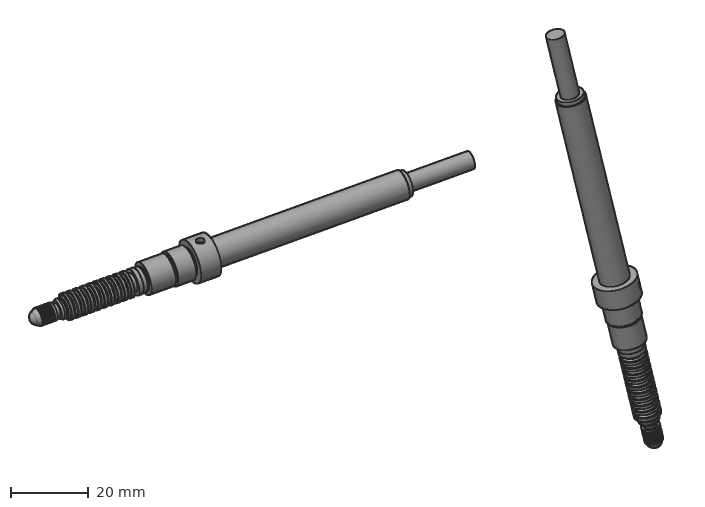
import cadquery as cq

overall_length = 128.5

nose_length = 1.0
nose_diameter = 3.6
taper_length = 2.3
tip_diameter = 5.0
grip_end = 6.8
grip_groove_count = 8
grip_groove_width = 0.25
grip_groove_depth = 0.2
grip_front_land = 0.2
grip_rear_land = 0.5

neck_end = 8.0
neck_diameter = 3.6
shoulder_front_diameter = 5.0
shoulder_diameter = 5.7
shoulder_taper_end = 8.7
shoulder_end = 9.4

fin_count = 10
fin_pitch = 1.94
fin_diameter = 7.3
fin_crest_width = 0.85
fin_flank_width = 0.4
first_fin_center = 10.75
root_diameter = 5.2

ring_start = 30.0
ring_end = 32.6
ring_diameter = 7.3
ring_step = 31.3
ring_rear_diameter = 7.1
relief_end = 33.1
relief_diameter = 6.6
sleeve_end = 40.2
sleeve_diameter = 9.0
sleeve_groove_end = 40.75
groove_diameter = 8.0
land_end = 45.9
land_diameter = 9.6
flange_start = 46.7
flange_end = 52.6
flange_diameter = 12.0

barrel_end = 108.6
barrel_diameter = 8.1
end_cap_end = 109.8
end_cap_diameter = 7.3
tail_diameter = 5.0

radial_hole_diameter = 2.3
radial_hole_depth = 1.5
radial_hole_center = (flange_start + flange_end) / 2


def cylinder(start, end, diameter):
    """Solid cylinder around the Y axis between two distances from the tip."""
    return (
        cq.Workplane("XZ", origin=(0, start, 0))
        .circle(diameter / 2)
        .extrude(start - end)
    )


def cone(start, end, start_diameter, end_diameter):
    """Solid cone frustum around the Y axis between two distances from the tip."""
    return cq.Workplane(
        cq.Solid.makeCone(
            start_diameter / 2,
            end_diameter / 2,
            end - start,
            pnt=cq.Vector(0, start, 0),
            dir=cq.Vector(0, 1, 0),
        )
    )


def make_tip():
    """Spherical nose and conical taper followed by a ring-grooved grip."""
    nose_radius = nose_diameter / 2
    dome_radius = (nose_radius**2 + nose_length**2) / (2 * nose_length)
    tip_radius = tip_diameter / 2
    tip = (
        cq.Workplane("XY")
        .radiusArc((nose_radius, nose_length), -dome_radius)
        .lineTo(tip_radius, taper_length)
        .lineTo(tip_radius, grip_end)
        .lineTo(0, grip_end)
        .close()
        .revolve(360, (0, 0, 0), (0, 1, 0))
    )
    first_groove = taper_length + grip_front_land
    groove_pitch = (grip_end - grip_rear_land - first_groove) / grip_groove_count
    core_diameter = tip_diameter - 2 * grip_groove_depth
    for index in range(grip_groove_count):
        start = first_groove + index * groove_pitch
        end = start + grip_groove_width
        groove = cylinder(start, end, 2 * tip_diameter).cut(cylinder(start, end, core_diameter))
        tip = tip.cut(groove)
    return tip


def make_neck_and_shoulder():
    """Slim neck leading into a shoulder with a tapered front."""
    neck = cylinder(grip_end, neck_end, neck_diameter)
    taper = cone(neck_end, shoulder_taper_end, shoulder_front_diameter, shoulder_diameter)
    shoulder = cylinder(shoulder_taper_end, shoulder_end, shoulder_diameter)
    return neck.union(taper).union(shoulder)


def make_fin(center):
    """One fin with a flat crest and sloping flanks."""
    crest_start = center - fin_crest_width / 2
    crest_end = center + fin_crest_width / 2
    crest = cylinder(crest_start, crest_end, fin_diameter)
    flank_diameter = (fin_diameter + root_diameter) / 2
    front = cone(crest_start - fin_flank_width, crest_start, root_diameter, flank_diameter)
    back = cone(crest_end, crest_end + fin_flank_width, flank_diameter, root_diameter)
    return front.union(crest).union(back)


def make_finned_section():
    """Root cylinder with evenly spaced fins."""
    section = cylinder(shoulder_end, ring_start, root_diameter)
    for index in range(fin_count):
        section = section.union(make_fin(first_fin_center + index * fin_pitch))
    return section


def make_housing():
    """Stepped ring, sleeve, seal land and flange, separated by narrow grooves."""
    ring_front = cylinder(ring_start, ring_step, ring_diameter)
    ring_rear = cylinder(ring_step, ring_end, ring_rear_diameter)
    ring = ring_front.union(ring_rear)
    relief = cylinder(ring_end, relief_end, relief_diameter)
    sleeve = cylinder(relief_end, sleeve_end, sleeve_diameter)
    core = cylinder(sleeve_end, flange_start, groove_diameter)
    land = cylinder(sleeve_groove_end, land_end, land_diameter)
    flange = cylinder(flange_start, flange_end, flange_diameter)
    return ring.union(relief).union(sleeve).union(core).union(land).union(flange)


def make_barrel_and_tail():
    """Long barrel, stepped end cap and thin tail."""
    barrel = cylinder(flange_end, barrel_end, barrel_diameter)
    end_cap = cylinder(barrel_end, end_cap_end, end_cap_diameter)
    tail = cylinder(end_cap_end, overall_length, tail_diameter)
    return barrel.union(end_cap).union(tail)


def cut_radial_holes(body):
    """Blind holes entering the flange from the top and from the -X side."""
    hole_floor = flange_diameter / 2 - radial_hole_depth
    hole_radius = radial_hole_diameter / 2
    top_start = cq.Vector(0, radial_hole_center, hole_floor)
    side_start = cq.Vector(-hole_floor, radial_hole_center, 0)
    cut_length = 2 * radial_hole_depth
    top_hole = cq.Solid.makeCylinder(hole_radius, cut_length, top_start, cq.Vector(0, 0, 1))
    side_hole = cq.Solid.makeCylinder(hole_radius, cut_length, side_start, cq.Vector(-1, 0, 0))
    return body.cut(cq.Workplane(top_hole)).cut(cq.Workplane(side_hole))


shaft = make_tip().union(make_neck_and_shoulder()).union(make_finned_section())
shaft = shaft.union(make_housing()).union(make_barrel_and_tail())
result = cut_radial_holes(shaft)